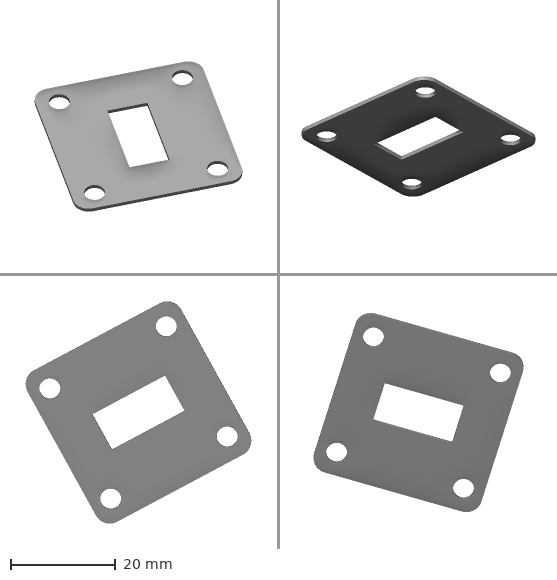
import cadquery as cq

side = 33.3
thickness = 0.8
corner_radius = 3.0

window_width = 15.8
window_height = window_width / 2

hole_diameter = 4.0
hole_spacing_x = 25.27
hole_spacing_y = 24.35

plate = cq.Workplane("XY").rect(side, side).extrude(thickness).edges("|Z").fillet(corner_radius)

window = cq.Workplane("XY").rect(window_width, window_height).extrude(thickness)

holes = (
    cq.Workplane("XY")
    .rect(hole_spacing_x, hole_spacing_y, forConstruction=True)
    .vertices()
    .circle(hole_diameter / 2)
    .extrude(thickness)
)

result = plate.cut(window).cut(holes)